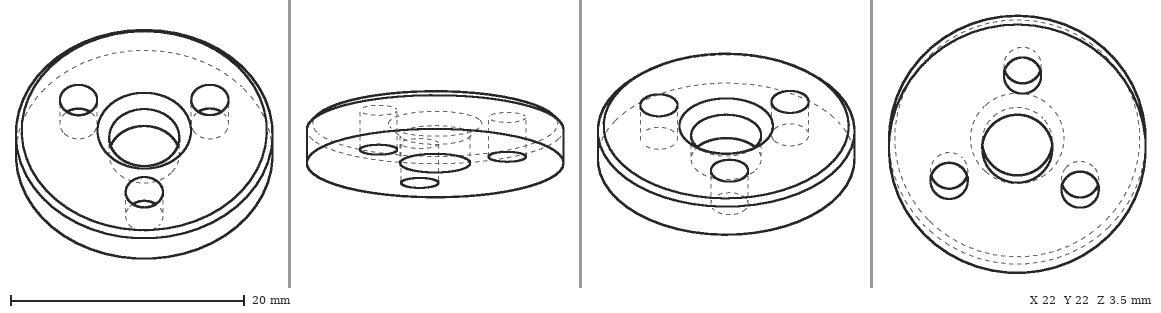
import cadquery as cq

disc_diameter = 22.0
disc_thickness = 3.5
rim_chamfer = 0.5

bore_diameter = 6.0
countersink_diameter = 8.0
countersink_depth = (countersink_diameter - bore_diameter) / 2

hole_count = 3
hole_diameter = 3.2
hole_circle_radius = 6.5
first_hole_angle = 180.0


def make_disc():
    """Disc with its bottom on the XY plane and a chamfered top rim."""
    disc = cq.Workplane("XY").circle(disc_diameter / 2).extrude(disc_thickness)
    return disc.faces(">Z").edges().chamfer(rim_chamfer)


def cut_centre_bore(body):
    """Through bore, with its top edge opened out into a countersink."""
    bored = body.faces(">Z").workplane(origin=(0, 0, disc_thickness)).hole(bore_diameter)
    bore_edge = bored.faces(">Z").edges(cq.selectors.RadiusNthSelector(0))
    return bore_edge.chamfer(countersink_depth)


def cut_hole_ring(body):
    """Equally spaced through holes around the bore."""
    top = body.faces(">Z").workplane(origin=(0, 0, disc_thickness))
    centres = top.polarArray(hole_circle_radius, first_hole_angle, 360, hole_count)
    return centres.hole(hole_diameter)


result = cut_hole_ring(cut_centre_bore(make_disc()))